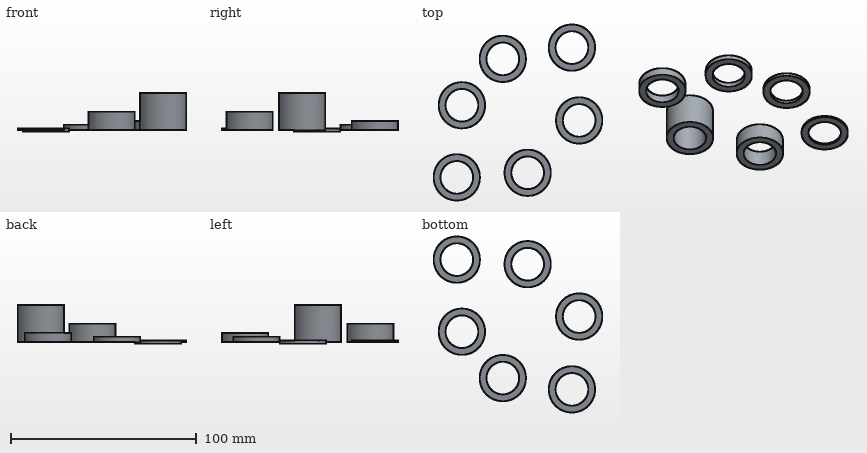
import cadquery as cq

OUTER_DIAMETER = 25.1
BORE_DIAMETER = 17.5

FLOOR_Z = 0.0
LOWERED_Z = -0.95

RING_LAYOUT = [
    (32.9, -4.3, FLOOR_Z, 20.0),
    (5.2, -32.5, FLOOR_Z, 10.0),
    (29.0, 34.9, FLOOR_Z, 5.0),
    (-8.2, 28.9, FLOOR_Z, 3.0),
    (-30.2, 3.9, LOWERED_Z, 2.0),
    (-32.9, -34.9, FLOOR_Z, 1.0),
]


def make_spacer_ring(center_x, center_y, underside_z, height):
    """Plain upright ring with a bore through its full height."""
    return (
        cq.Workplane("XY")
        .circle(OUTER_DIAMETER / 2)
        .circle(BORE_DIAMETER / 2)
        .extrude(height)
        .translate((center_x, center_y, underside_z))
    )


spacer_rings = []
for center_x, center_y, underside_z, height in RING_LAYOUT:
    ring = make_spacer_ring(center_x, center_y, underside_z, height)
    spacer_rings.append(ring.val())

result = cq.Compound.makeCompound(spacer_rings)